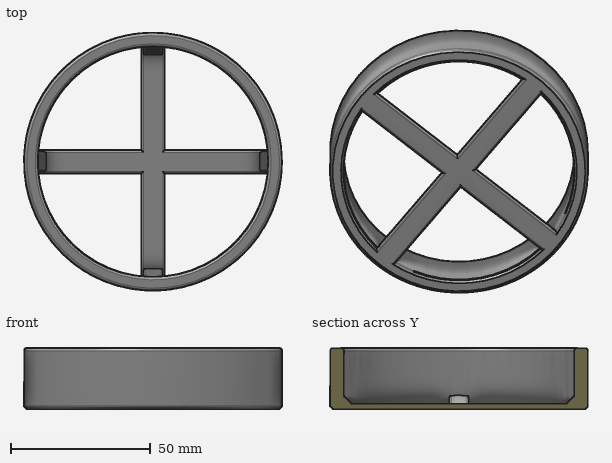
import cadquery as cq

outer_diameter = 92.5
inner_diameter = 82.5
ring_height = 22.0
rim_round = 1.0
bottom_chamfer = 1.0
chamfer_round = 0.7

arm_width = 8.5
arm_thickness = 2.0
arm_edge_round = 0.8

wedge_width = 7.0
wedge_toe_radius = 38.3
wedge_rise = 3.0
wedge_edge_round = 0.7

inner_radius = inner_diameter / 2
wall_middle_radius = (outer_diameter + inner_diameter) / 4


def make_ring():
    """Tube with a rounded top rim and bottom chamfers whose upper edges are softened."""
    ring = cq.Workplane("XY").circle(outer_diameter / 2).circle(inner_radius).extrude(ring_height)
    ring = ring.faces(">Z").edges().fillet(rim_round)
    ring = ring.faces("<Z").edges().chamfer(bottom_chamfer)
    chamfer_tops = cq.selectors.BoxSelector(
        (-outer_diameter, -outer_diameter, bottom_chamfer / 2),
        (outer_diameter, outer_diameter, 2 * bottom_chamfer),
    )
    return ring.faces("%CONE").edges("%CIRCLE").edges(chamfer_tops).fillet(chamfer_round)


def make_cross():
    """Two perpendicular arms with rounded upper and lower edges, ending inside the ring wall."""
    arm_length = 2 * wall_middle_radius
    arm = cq.Workplane("XY").box(arm_length, arm_width, arm_thickness, centered=(True, True, False))
    arm = arm.edges("|X").fillet(arm_edge_round)
    return arm.union(arm.rotate((0, 0, 0), (0, 0, 1), 90))


def make_wedge():
    """Wedge at the +X arm end, rising outward, with rounded sides along its slope."""
    slope = wedge_rise / (inner_radius - wedge_toe_radius)
    heel_rise = slope * (wall_middle_radius - wedge_toe_radius)
    wedge = (
        cq.Workplane("XZ")
        .moveTo(wedge_toe_radius, arm_thickness)
        .lineTo(wall_middle_radius, arm_thickness + heel_rise)
        .lineTo(wall_middle_radius, arm_thickness / 2)
        .lineTo(wedge_toe_radius, arm_thickness / 2)
        .close()
        .extrude(wedge_width / 2, both=True)
    )
    slope_sides = cq.selectors.BoxSelector(
        (wedge_toe_radius, -wedge_width, arm_thickness),
        (wall_middle_radius, wedge_width, arm_thickness + heel_rise),
    )
    return wedge.edges(slope_sides).edges("not |Y").edges("not |Z").fillet(wedge_edge_round)


result = make_ring().union(make_cross())
for arm_angle in (0, 90, 180, 270):
    result = result.union(make_wedge().rotate((0, 0, 0), (0, 0, 1), arm_angle))